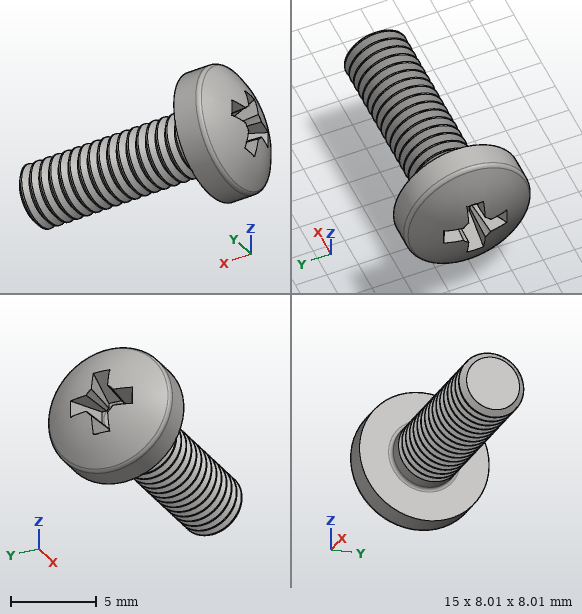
import cadquery as cq
import math


total_length = 15.02
head_radius = 4.003
head_height = 3.0

dome_radius = 6.46
rim_round = 0.36

thread_radius = 2.0
root_radius = 1.64
underhead_round = 0.21
ridge_count = 16
thread_start = 4.42
crest_width = 0.1

slot_width = 1.05
recess_depth = 2.31
arm_floor_reach = 0.98
arm_mouth_reach = 2.01
core_mouth_radius = 1.0
core_floor_radius = 0.85
tip_angle = 144.0

dome_center = math.sqrt(dome_radius**2 - core_mouth_radius**2)
dome_apex = dome_center - dome_radius

pitch = (total_length - thread_start) / ridge_count
flank_length = (pitch - crest_width) / 2


def dome_x(radius):
    """Axial position of the dome surface at a distance from the axis."""
    return dome_center - math.sqrt(dome_radius**2 - radius**2)


def make_head():
    """Cylindrical head under a spherical dome, with a rounded rim between them."""
    round_center_r = head_radius - rim_round
    round_center_x = dome_center - math.sqrt((dome_radius - rim_round) ** 2 - round_center_r**2)
    tangent_r = round_center_r * dome_radius / (dome_radius - rim_round)
    dome_mid_r = tangent_r / 2
    dome_normal = math.asin(tangent_r / dome_radius)
    mid_normal = (dome_normal + math.pi / 2) / 2
    round_mid = (
        round_center_x - rim_round * math.cos(mid_normal),
        round_center_r + rim_round * math.sin(mid_normal),
    )
    profile = (
        cq.Workplane("XY")
        .moveTo(dome_apex, 0)
        .threePointArc((dome_x(dome_mid_r), dome_mid_r), (dome_x(tangent_r), tangent_r))
        .threePointArc(round_mid, (round_center_x, head_radius))
        .lineTo(head_height, head_radius)
        .lineTo(head_height, 0)
        .close()
    )
    return profile.revolve(360, (0, 0, 0), (1, 0, 0))


def make_shank():
    """Plain neck with a round under the head, then a row of V-shaped thread ridges."""
    arc_offset = underhead_round * (1 - math.sqrt(0.5))
    profile = (
        cq.Workplane("XY")
        .moveTo(head_height, 0)
        .lineTo(head_height, thread_radius + underhead_round)
        .threePointArc(
            (head_height + arc_offset, thread_radius + arc_offset),
            (head_height + underhead_round, thread_radius),
        )
        .lineTo(thread_start - flank_length, thread_radius)
        .lineTo(thread_start, root_radius)
    )
    for ridge in range(ridge_count):
        ridge_start = thread_start + ridge * pitch
        profile = (
            profile.lineTo(ridge_start + flank_length, thread_radius)
            .lineTo(ridge_start + flank_length + crest_width, thread_radius)
            .lineTo(ridge_start + pitch, root_radius)
        )
    return profile.lineTo(total_length, 0).close().revolve(360, (0, 0, 0), (1, 0, 0))


def make_recess():
    """Crossed slots with sloping ends around a tapered core that ends in a conical tip."""
    end_slope = (arm_mouth_reach - arm_floor_reach) / (recess_depth - dome_x(arm_mouth_reach))
    outer_reach = arm_floor_reach + end_slope * (recess_depth - dome_apex)
    slot = (
        cq.Workplane("XY")
        .polyline(
            [
                (dome_apex, -outer_reach),
                (dome_apex, outer_reach),
                (recess_depth, arm_floor_reach),
                (recess_depth, -arm_floor_reach),
            ]
        )
        .close()
        .extrude(slot_width / 2, both=True)
    )
    core_slope = (core_mouth_radius - core_floor_radius) / recess_depth
    tip_depth = core_floor_radius / math.tan(math.radians(tip_angle / 2))
    core = (
        cq.Workplane("XY")
        .polyline(
            [
                (dome_apex, 0),
                (dome_apex, core_mouth_radius - core_slope * dome_apex),
                (recess_depth, core_floor_radius),
                (recess_depth + tip_depth, 0),
            ]
        )
        .close()
        .revolve(360, (0, 0, 0), (1, 0, 0))
    )
    crossing_slot = slot.rotate((0, 0, 0), (1, 0, 0), 90)
    return core.union(slot).union(crossing_slot)


result = make_head().union(make_shank()).cut(make_recess())